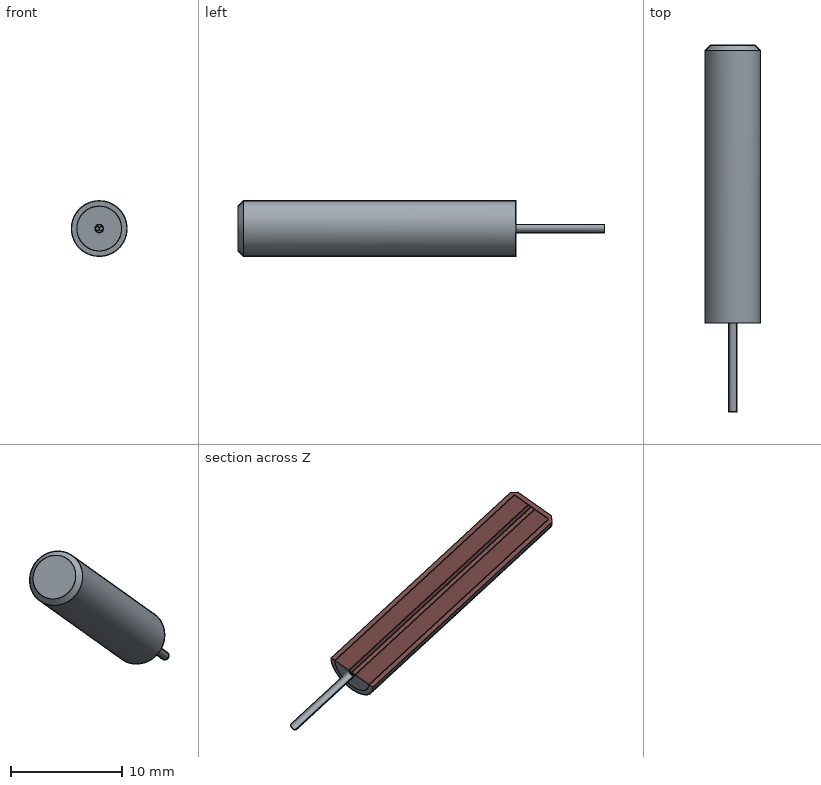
import cadquery as cq

total_length = 33.0
housing_length = 25.0
housing_chamfer = 0.5

housing_radius = 2.5
fill_radius = 2.0
sleeve_diameter = 0.75
sleeve_radius = sleeve_diameter / 2
sleeve_wall = 0.04
sleeve_bore_radius = sleeve_radius - sleeve_wall
conductor_radius = sleeve_bore_radius / 2

back_y = total_length / 2
mouth_y = back_y - housing_length
fill_back_y = back_y - housing_chamfer
tip_y = -total_length / 2


def rod(radius, start_y, end_y, center_x=0):
    """Round bar parallel to Y, from start_y to end_y."""
    base = cq.Workplane("XZ", origin=(center_x, start_y, 0))
    return base.circle(radius).extrude(start_y - end_y)


def make_housing():
    """Can with a chamfered, closed back, bored from the mouth."""
    can = rod(housing_radius, mouth_y, back_y).faces(">Y").chamfer(housing_chamfer)
    return can.cut(rod(fill_radius, mouth_y, fill_back_y))


def make_sleeved_fill():
    """Plug flush with the housing mouth, with the hollow cable sleeve standing out of it."""
    sleeve = rod(sleeve_radius, tip_y, mouth_y)
    bore = rod(sleeve_bore_radius, tip_y, mouth_y)
    plug = rod(fill_radius, mouth_y, fill_back_y)
    return plug.union(sleeve).cut(bore)


def make_conductor(side):
    """Wire inside the plug, ending at the floor of the sleeve bore."""
    return rod(conductor_radius, mouth_y, fill_back_y, side * conductor_radius)


housing = make_housing()
sleeved_fill = make_sleeved_fill()
conductors = []
for side in (-1, 1):
    conductor = make_conductor(side)
    sleeved_fill = sleeved_fill.cut(conductor)
    conductors.append(conductor.val())

result = cq.Compound.makeCompound([housing.val(), sleeved_fill.val(), *conductors])